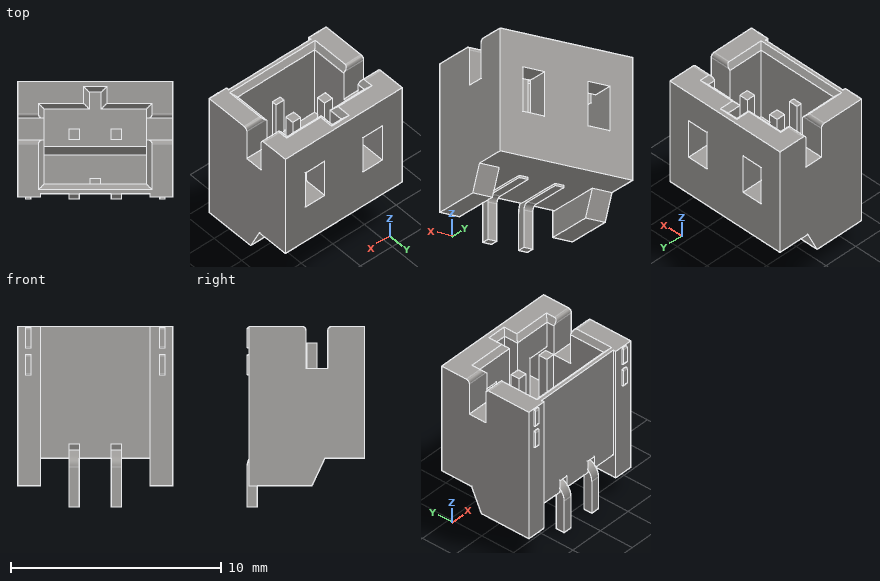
import cadquery as cq
import math


width = 7.4
depth = 5.5
overall_height = 8.6
body_height = 6.28
leg_height = 7.59
leg_width = 1.1
front_recess = 0.155
leg_rear_top_y = 3.62
leg_rear_bottom_y = 3.0

cavity_width = 4.87
cavity_front_y = 0.62
cavity_rear_y = 4.19
key_width = 0.57
key_rear_y = 4.99
mouth_chamfer = 0.27
floor_depth = 4.0
floor_step = 0.41
step_top_y = 2.41
step_bottom_y = step_top_y - floor_step

inner_rib_width = 0.5
inner_rib_thickness = 0.275

slot_front_y = 2.72
slot_rear_y = 3.75
slot_depth = 1.995
slot_edge_radius = 0.2

window_inner_x = 1.21
window_top_depth = 1.73

pin_size = 0.5
pin_pitch = 2.0
pin_y = 2.99
pin_top_depth = 0.79
pin_protrusion = 0.095
bend_radius = 0.8
bend_end_z = -6.69

relief_depth = 0.35
relief_height = 0.68
relief_slope = 0.5

crush_rib_x = 3.19
crush_rib_width = 0.27
crush_rib_height = 0.98
crush_rib_protrusion = 0.095
crush_rib_radius = 0.08
crush_rib_pitch = 1.28
crush_rib_top_depth = 0.06


def box(x_range, y_range, z_range):
    """Box spanning the given (low, high) limits along each axis."""
    sizes = [high - low for low, high in (x_range, y_range, z_range)]
    corner = (x_range[0], y_range[0], z_range[0])
    return cq.Workplane("XY").box(*sizes, centered=False).translate(corner)


def extrude_across(profile_yz, thickness, center_x=0.0):
    """Extrude a YZ profile symmetrically about the plane X = center_x."""
    return profile_yz.extrude(thickness / 2, both=True).translate((center_x, 0, 0))


def make_housing():
    profile = cq.Workplane("YZ").polyline([
        (0, 0),
        (depth, 0),
        (depth, -body_height),
        (leg_rear_top_y, -body_height),
        (leg_rear_bottom_y, -leg_height),
        (0, -leg_height),
    ]).close()
    housing = extrude_across(profile, width)
    between_legs = (leg_width - width / 2, width / 2 - leg_width)
    housing = housing.cut(box(between_legs, (0, depth), (-leg_height, -body_height)))
    return housing.cut(box(between_legs, (0, front_recess), (-leg_height, 0)))


def cut_cavity(housing):
    half_cavity = cavity_width / 2
    half_key = key_width / 2
    profile = cq.Workplane("YZ").polyline([
        (cavity_front_y, 0),
        (cavity_rear_y, 0),
        (cavity_rear_y, -floor_depth),
        (step_top_y, -floor_depth),
        (step_bottom_y, -floor_depth - floor_step),
        (cavity_front_y, -floor_depth - floor_step),
    ]).close()
    cavity = extrude_across(profile, cavity_width)
    keyway = box((-half_key, half_key), (cavity_rear_y, key_rear_y), (-floor_depth, 0))
    housing = housing.cut(cavity.union(keyway))

    mouth_edges = cq.Workplane(housing.faces(">Z").val().innerWires()[0]).edges().vals()
    housing = housing.newObject(mouth_edges).chamfer(mouth_chamfer)

    half_rib = inner_rib_width / 2
    inner_rib = box(
        (-half_rib, half_rib),
        (cavity_front_y, cavity_front_y + inner_rib_thickness),
        (-floor_depth - floor_step, -slot_depth),
    )
    return housing.union(inner_rib)


def make_slot():
    """Slot across the full width, with its top edges rounded outward."""
    radius = slot_edge_radius
    diagonal = radius * (1 - math.sqrt(0.5))
    profile = (
        cq.Workplane("YZ")
        .moveTo(slot_front_y, -slot_depth)
        .lineTo(slot_front_y, -radius)
        .threePointArc((slot_front_y - diagonal, -diagonal), (slot_front_y - radius, 0))
        .lineTo(slot_rear_y + radius, 0)
        .threePointArc((slot_rear_y + diagonal, -diagonal), (slot_rear_y, -radius))
        .lineTo(slot_rear_y, -slot_depth)
        .close()
    )
    return extrude_across(profile, width)


def make_window(side):
    """Rear-wall window on one side, from the cavity floor up and out to the cavity's side wall."""
    x_range = sorted((side * window_inner_x, side * cavity_width / 2))
    return box(x_range, (cavity_rear_y, depth), (-floor_depth, -window_top_depth))


def make_relief(center_x):
    """Notch where a tail leaves the housing, its rear face sloping back toward the underside."""
    top_z = relief_height - body_height
    rear_top_y = front_recess + relief_depth
    rear_bottom_y = rear_top_y + relief_slope * relief_height
    profile = cq.Workplane("YZ").polyline([
        (front_recess, top_z),
        (rear_top_y, top_z),
        (rear_bottom_y, -body_height),
        (front_recess, -body_height),
    ]).close()
    return extrude_across(profile, pin_size, center_x)


def make_pin(center_x):
    """Square pin: contact post, bend to the front, then bend down into the solder tail."""
    front_y = -pin_protrusion
    post_front_y = pin_y - pin_size / 2
    post_rear_y = pin_y + pin_size / 2
    run_top_z = bend_end_z + bend_radius
    run_bottom_z = run_top_z - pin_size
    tip_z = -overall_height
    inner_radius = bend_radius - pin_size
    bend_center_y = front_y + bend_radius
    cos_45 = math.sqrt(0.5)
    outer_middle = (bend_center_y - bend_radius * cos_45, bend_end_z + bend_radius * cos_45)
    inner_middle = (bend_center_y - inner_radius * cos_45, bend_end_z + inner_radius * cos_45)
    profile = (
        cq.Workplane("YZ")
        .moveTo(post_rear_y, -pin_top_depth)
        .lineTo(post_front_y, -pin_top_depth)
        .lineTo(post_front_y, run_top_z)
        .lineTo(bend_center_y, run_top_z)
        .threePointArc(outer_middle, (front_y, bend_end_z))
        .lineTo(front_y, tip_z)
        .lineTo(front_y + pin_size, tip_z)
        .lineTo(front_y + pin_size, bend_end_z)
        .threePointArc(inner_middle, (bend_center_y, run_bottom_z))
        .lineTo(post_rear_y, run_bottom_z)
        .close()
    )
    return extrude_across(profile, pin_size, center_x)


def make_crush_rib(center_x, top_z):
    """Crush rib with rounded upper and lower front edges, rooted inside the leg."""
    half_width = crush_rib_width / 2
    rib = box(
        (center_x - half_width, center_x + half_width),
        (-crush_rib_protrusion, crush_rib_protrusion),
        (top_z - crush_rib_height, top_z),
    )
    return rib.faces("<Y").edges("|X").fillet(crush_rib_radius)


result = cut_cavity(make_housing()).cut(make_slot())

for side in (-1, 1):
    pin_x = side * pin_pitch / 2
    result = result.cut(make_window(side))
    result = result.cut(make_relief(pin_x))
    result = result.union(make_pin(pin_x))
    for row in range(2):
        rib_top_z = -crush_rib_top_depth - row * crush_rib_pitch
        result = result.union(make_crush_rib(side * crush_rib_x, rib_top_z))